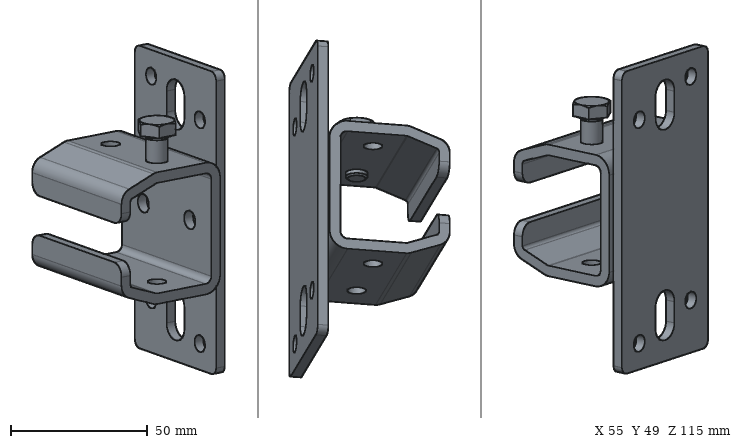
import cadquery as cq
import math


SHEET = 4.0
PLATE_WIDTH = 50.0
PLATE_HEIGHT = 115.0
PLATE_CORNER_RADIUS = 3.0
SLOT_WIDTH = 10.9
SLOT_LENGTH = 19.0
SLOT_RISE = 40.0
SCREW_HOLE_DIAMETER = 6.3
SCREW_HOLE_X = 15.0
SCREW_HOLE_NEAR_RISE = 37.5
SCREW_HOLE_FAR_RISE = 47.5
SCREW_HOLES = [
    (-SCREW_HOLE_X, SCREW_HOLE_FAR_RISE),
    (SCREW_HOLE_X, SCREW_HOLE_NEAR_RISE),
    (-SCREW_HOLE_X, -SCREW_HOLE_NEAR_RISE),
    (SCREW_HOLE_X, -SCREW_HOLE_FAR_RISE),
]

BRACKET_LENGTH = 55.0
BRACKET_HEIGHT = 50.0
BRACKET_DEPTH = 45.0
FLANGE_BEND_Y = -29.5
FLANGE_SLOPE = math.radians(20)
MOUTH_GAP = 15.0
BACK_BEND_INNER_RADIUS = 2.5
SLOPE_BEND_INNER_RADIUS = 0.9
LIP_BEND_INNER_RADIUS = 1.5
LIP_CORNER_RADIUS = 4.6
BRACKET_HOLE_DIAMETER = 6.9
BRACKET_HOLE_X = 14.3
FLANGE_HOLE_Y = -19.0

BOLT_X = BRACKET_HOLE_X
BOLT_Y = FLANGE_HOLE_Y
BOLT_DIAMETER = 8.0
BOLT_LENGTH = 16.2
BOLT_TIP_Z = 18.9
BOLT_TIP_CHAMFER = 0.7
HEAD_ACROSS_FLATS = 12.9
HEAD_HEIGHT = 5.3
HEAD_TOP_DIAMETER = 12.8
HEAD_CHAMFER_ANGLE = math.radians(30)
WASHER_FACE_DIAMETER = 12.0
WASHER_FACE_THICKNESS = 0.3
NECK_DIAMETER = 7.4
NECK_LENGTH = 1.4
NECK_FILLET_RADIUS = 0.6


def facing_front(plane_y):
    """Workplane facing -Y, so its axes are X and Z and it extrudes towards -Y."""
    return cq.Workplane("XZ", origin=(0, plane_y, 0))


def make_plate():
    plate = facing_front(SHEET).rect(PLATE_WIDTH, PLATE_HEIGHT).extrude(SHEET)
    plate = plate.edges("|Y").fillet(PLATE_CORNER_RADIUS)
    slots = (
        facing_front(SHEET)
        .pushPoints([(0, SLOT_RISE), (0, -SLOT_RISE)])
        .slot2D(SLOT_LENGTH, SLOT_WIDTH, 90)
        .extrude(SHEET)
    )
    screw_holes = facing_front(SHEET).pushPoints(SCREW_HOLES).circle(SCREW_HOLE_DIAMETER / 2).extrude(SHEET)
    return plate.cut(slots).cut(screw_holes)


def bracket_corners():
    """Sharp bend corners (y, z) of the upper half: the outer and the inner ones, from back to lip."""
    top = BRACKET_HEIGHT / 2
    front = -BRACKET_DEPTH
    inner_top = top - SHEET
    inner_front = front + SHEET
    inner_bend_y = FLANGE_BEND_Y + SHEET * math.tan(FLANGE_SLOPE / 2)
    lip_z = top - (FLANGE_BEND_Y - front) * math.tan(FLANGE_SLOPE)
    inner_lip_z = inner_top - (inner_bend_y - inner_front) * math.tan(FLANGE_SLOPE)
    outer = [(0, top), (FLANGE_BEND_Y, top), (front, lip_z)]
    inner = [(-SHEET, inner_top), (inner_bend_y, inner_top), (inner_front, inner_lip_z)]
    return outer, inner


def make_bent_sheet():
    outer, inner = bracket_corners()
    mouth = MOUTH_GAP / 2
    lip_end = [(-BRACKET_DEPTH, mouth), (-BRACKET_DEPTH + SHEET, mouth)]
    upper_half = outer + lip_end + inner[::-1]
    lower_half = [(y, -z) for y, z in reversed(upper_half)]
    sheet = (
        cq.Workplane("YZ")
        .polyline(upper_half + lower_half)
        .close()
        .extrude(BRACKET_LENGTH / 2, both=True)
    )
    bend_radii = [BACK_BEND_INNER_RADIUS, SLOPE_BEND_INNER_RADIUS, LIP_BEND_INNER_RADIUS]
    for corners, added_radius in [(outer, SHEET), (inner, 0)]:
        for (y, z), inner_radius in zip(corners, bend_radii):
            for side in (1, -1):
                bend_edge = cq.NearestToPointSelector((0, y, side * z))
                sheet = sheet.edges(bend_edge).fillet(inner_radius + added_radius)
    return sheet


def round_lip_corners(sheet):
    for end in (1, -1):
        for side in (1, -1):
            corner = (end * BRACKET_LENGTH / 2, -BRACKET_DEPTH + SHEET / 2, side * MOUTH_GAP / 2)
            sheet = sheet.edges(cq.NearestToPointSelector(corner)).fillet(LIP_CORNER_RADIUS)
    return sheet


def make_bracket():
    bracket = round_lip_corners(make_bent_sheet())
    hole_radius = BRACKET_HOLE_DIAMETER / 2
    back_holes = facing_front(0).pushPoints([(BRACKET_HOLE_X, 0), (-BRACKET_HOLE_X, 0)]).circle(hole_radius)
    flange_holes = (
        cq.Workplane("XY")
        .pushPoints([(BRACKET_HOLE_X, FLANGE_HOLE_Y), (-BRACKET_HOLE_X, FLANGE_HOLE_Y)])
        .circle(hole_radius)
    )
    bolt_hole = cq.Workplane("XY").center(BOLT_X, BOLT_Y).circle(BOLT_DIAMETER / 2)
    return (
        bracket
        .cut(back_holes.extrude(SHEET))
        .cut(flange_holes.extrude(BRACKET_HEIGHT / 2, both=True))
        .cut(bolt_hole.extrude(BRACKET_HEIGHT / 2))
    )


def make_bolt_head(bearing_z):
    head_height = HEAD_HEIGHT - WASHER_FACE_THICKNESS
    corner_radius = HEAD_ACROSS_FLATS / math.sqrt(3)
    top_radius = HEAD_TOP_DIAMETER / 2
    corner_drop = (corner_radius - top_radius) * math.tan(HEAD_CHAMFER_ANGLE)
    hexagon = (
        cq.Workplane("XY")
        .polygon(6, 2 * corner_radius)
        .extrude(head_height)
        .rotate((0, 0, 0), (0, 0, 1), 90)
    )
    chamfered_round = (
        cq.Workplane("XZ")
        .polyline([
            (0, 0),
            (corner_radius, 0),
            (corner_radius, head_height - corner_drop),
            (top_radius, head_height),
            (0, head_height),
        ])
        .close()
        .revolve(360, (0, 0), (0, 1))
    )
    return hexagon.intersect(chamfered_round).translate((0, 0, bearing_z + WASHER_FACE_THICKNESS))


def make_bolt_shank(bearing_z):
    """Washer face, filleted neck and chamfered shank, turned about the bolt axis."""
    radius = BOLT_DIAMETER / 2
    neck_radius = NECK_DIAMETER / 2
    washer_radius = WASHER_FACE_DIAMETER / 2
    washer_top_z = bearing_z + WASHER_FACE_THICKNESS
    fillet_centre_offset = NECK_FILLET_RADIUS * (1 - math.sqrt(0.5))
    return (
        cq.Workplane("XZ")
        .moveTo(0, BOLT_TIP_Z)
        .lineTo(radius - BOLT_TIP_CHAMFER, BOLT_TIP_Z)
        .lineTo(radius, BOLT_TIP_Z + BOLT_TIP_CHAMFER)
        .lineTo(radius, bearing_z - NECK_LENGTH)
        .lineTo(neck_radius, bearing_z - NECK_LENGTH)
        .lineTo(neck_radius, bearing_z - NECK_FILLET_RADIUS)
        .threePointArc(
            (neck_radius + fillet_centre_offset, bearing_z - fillet_centre_offset),
            (neck_radius + NECK_FILLET_RADIUS, bearing_z),
        )
        .lineTo(washer_radius, bearing_z)
        .lineTo(washer_radius, washer_top_z)
        .lineTo(0, washer_top_z)
        .close()
        .revolve(360, (0, 0), (0, 1))
    )


def make_bolt():
    bearing_z = BOLT_TIP_Z + BOLT_LENGTH
    bolt = make_bolt_head(bearing_z).union(make_bolt_shank(bearing_z))
    return bolt.translate((BOLT_X, BOLT_Y, 0))


plate = make_plate()
bracket = make_bracket()
bolt = make_bolt()

result = cq.Compound.makeCompound([plate.val(), bracket.val(), bolt.val()])